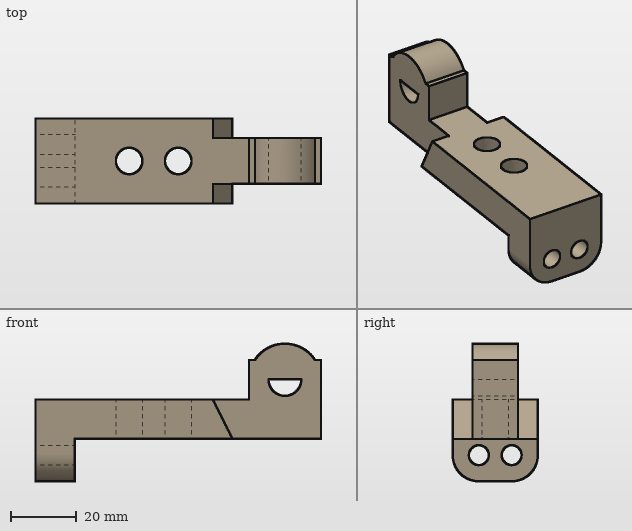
import cadquery as cq

total_length = 87.0
bar_width = 26.0
bar_thickness = 12.0
bar_bottom = 13.0
bar_top = bar_bottom + bar_thickness
bar_top_length = 54.0
bar_bottom_length = 60.0
foot_length = 12.0
foot_corner_radius = 8.0

tongue_width = 14.0
lug_length = 22.0
lug_start = total_length - lug_length
lug_center_x = total_length - lug_length / 2
lug_shoulder = 37.1
total_height = 42.0
crown_center_z = 31.1
crown_radius = total_height - crown_center_z
half_round_radius = 5.0

bar_hole_diameter = 8.0
first_bar_hole_x = 28.5
bar_hole_spacing = 15.0
foot_hole_diameter = 6.0
foot_hole_spacing = bar_width - 2 * foot_corner_radius


def extrude_side_profile(profile, width):
    """Extrude an XZ profile symmetrically about the Y = 0 plane."""
    return profile.extrude(width / 2, both=True)


def make_bar():
    """Wide bar with a slanted end and a downward foot with rounded lower corners."""
    profile = (
        cq.Workplane("XZ")
        .polyline([
            (0, 0),
            (foot_length, 0),
            (foot_length, bar_bottom),
            (bar_bottom_length, bar_bottom),
            (bar_top_length, bar_top),
            (0, bar_top),
        ])
        .close()
    )
    bar = extrude_side_profile(profile, bar_width)
    return bar.faces("<Z").edges("|X").fillet(foot_corner_radius)


def make_tongue():
    """Narrow tongue carrying a lug with shoulders and a round crown."""
    tongue_length = total_length - foot_length
    tongue = cq.Workplane("XY").box(
        tongue_length, tongue_width, bar_thickness, centered=(False, True, False)
    ).translate((foot_length, 0, bar_bottom))
    lug = cq.Workplane("XY").box(
        lug_length, tongue_width, lug_shoulder - bar_bottom, centered=(False, True, False)
    ).translate((lug_start, 0, bar_bottom))
    crown_profile = cq.Workplane("XZ").center(lug_center_x, crown_center_z).circle(crown_radius)
    crown = extrude_side_profile(crown_profile, tongue_width)
    return tongue.union(lug).union(crown)


def make_half_round_hole():
    """Half-round cutter through the lug, flat side up."""
    profile = (
        cq.Workplane("XZ")
        .center(lug_center_x, crown_center_z)
        .moveTo(-half_round_radius, 0)
        .threePointArc((0, -half_round_radius), (half_round_radius, 0))
        .close()
    )
    return extrude_side_profile(profile, tongue_width)


def make_bar_holes():
    """Two vertical cutters through the bar."""
    centers = [(first_bar_hole_x + i * bar_hole_spacing, 0) for i in range(2)]
    return (
        cq.Workplane("XY", origin=(0, 0, bar_bottom))
        .pushPoints(centers)
        .circle(bar_hole_diameter / 2)
        .extrude(bar_thickness)
    )


def make_foot_holes():
    """Two lengthwise cutters through the foot, concentric with its rounded corners."""
    centers = [(side * foot_hole_spacing / 2, foot_corner_radius) for side in (-1, 1)]
    return (
        cq.Workplane("YZ")
        .pushPoints(centers)
        .circle(foot_hole_diameter / 2)
        .extrude(foot_length)
    )


result = (
    make_bar()
    .union(make_tongue())
    .cut(make_half_round_hole())
    .cut(make_bar_holes())
    .cut(make_foot_holes())
)